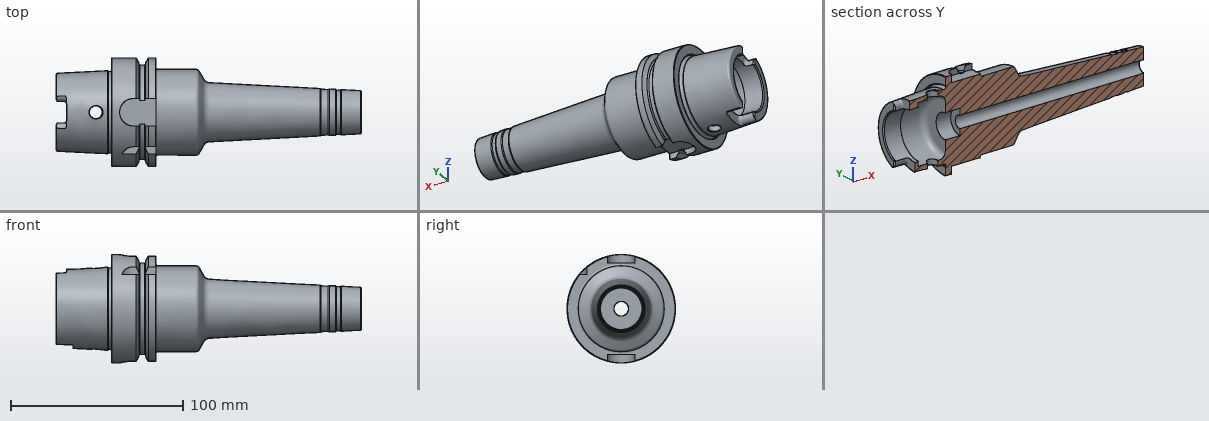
import cadquery as cq

LENGTH = 177.0

TAPER_SLOPE = 0.05
TAPER_RIM_RADIUS = 22.7
TAPER_END_X = 30.0
RIM_FILLET = 1.2
NECK_RADIUS = 23.7
NECK_START_X = 30.5
NECK_FILLET = 1.2

FLANGE_RADIUS = 31.5
FLANGE_FACE_X = 32.0
FLANGE_END_X = 57.9
FLANGE_CHAMFER = 0.4
FACE_RECESS_RADIUS = 25.7
FACE_RECESS_DEPTH = 0.5
GROOVE_START_X = 46.4
GROOVE_END_X = 53.5
GROOVE_FLOOR_START_X = 48.1
GROOVE_FLOOR_END_X = 51.7
GROOVE_FLANK_RADIUS = 28.7
GROOVE_FLOOR_RADIUS = 27.5
GROOVE_ROOT_FILLET = 0.5

BODY_RADIUS = 25.0
BODY_ROOT_FILLET = 0.9
BODY_END_X = 82.3
BODY_EDGE_FILLET = 2.1
SHANK_START_X = 86.7
SHANK_START_RADIUS = 17.3
SHANK_ROOT_FILLET = 3.2
NOSE_RADIUS = 12.5
NOSE_CHAMFER = 0.5
SHANK_SLOPE = (SHANK_START_RADIUS - NOSE_RADIUS) / (LENGTH - SHANK_START_X)

BANDS = [(153.0, 158.5), (162.0, 165.5)]
BAND_DEPTH = 0.4
BAND_FLANK = 0.7

BORE_RADIUS = 17.0
BORE_END_X = 12.5
BORE_CHAMFER = 0.7
CHAMBER_RADIUS = 20.0
CHAMBER_END_X = 32.0
CHAMBER_FLOOR_RADIUS = 16.0
THREAD_RADIUS = 8.5
THREAD_DEPTH = 10.6
COOLANT_HOLE_RADIUS = 4.16

CROSS_HOLE_X = 23.0
CROSS_HOLE_RADIUS = 3.7
CROSS_HOLE_MOUTH_RADIUS = 4.16

DRIVE_SLOT_HALF_WIDTH = 6.2
DRIVE_SLOT_MOUTH_RADIUS = 3.2
DRIVE_SLOT_MOUTH_Z = 17.5
DRIVE_SLOT_FLOOR_FILLET = 1.5
DRIVE_SLOT_CHAMFER_WIDTH = 1.0
DRIVE_SLOT_CHAMFER_LENGTH = 0.7
UPPER_SLOT_DEPTH = 6.0
LOWER_SLOT_DEPTH = 10.0

KEY_SLOT_RADIUS = 8.0
KEY_SLOT_FLOOR_Z = 26.5
SLOT_CENTRE_X = 44.8
NOTCH_CUTTER_RADIUS = 7.0
NOTCH_WALL_Y = -20.0
NOTCH_FLOOR_Z = 20.0

CLEAR = 35.4
PICK = 0.2


def shank_radius(x):
    return NOSE_RADIUS + SHANK_SLOPE * (LENGTH - x)


def revolve(profile):
    return profile.close().revolve(360, (0, 0, 0), (1, 0, 0))


def make_shank_end():
    """Body with rounded shoulder running into the conical shank."""
    root_x = FLANGE_END_X + BODY_ROOT_FILLET
    profile = (
        cq.Workplane("XY")
        .moveTo(FLANGE_END_X, 0)
        .lineTo(FLANGE_END_X, BODY_RADIUS + BODY_ROOT_FILLET)
        .radiusArc((root_x, BODY_RADIUS), -BODY_ROOT_FILLET)
        .lineTo(BODY_END_X, BODY_RADIUS)
        .lineTo(SHANK_START_X, SHANK_START_RADIUS)
        .lineTo(LENGTH - NOSE_CHAMFER, shank_radius(LENGTH - NOSE_CHAMFER))
        .lineTo(LENGTH, NOSE_RADIUS - NOSE_CHAMFER)
        .lineTo(LENGTH, 0)
    )
    body = revolve(profile)
    for x, fillet in ((BODY_END_X, BODY_EDGE_FILLET), (SHANK_START_X, SHANK_ROOT_FILLET)):
        shoulder = cq.selectors.BoxSelector((x - PICK, -CLEAR, -CLEAR), (x + PICK, CLEAR, CLEAR))
        body = body.edges(shoulder).fillet(fillet)
    return body


def make_taper_and_flange():
    recess_x = FLANGE_FACE_X + FACE_RECESS_DEPTH
    root_radius = GROOVE_FLOOR_RADIUS + GROOVE_ROOT_FILLET
    chamfer_radius = FLANGE_RADIUS - FLANGE_CHAMFER
    profile = (
        cq.Workplane("XY")
        .lineTo(0, TAPER_RIM_RADIUS - RIM_FILLET)
        .radiusArc((RIM_FILLET, TAPER_RIM_RADIUS + TAPER_SLOPE * RIM_FILLET), RIM_FILLET)
        .lineTo(TAPER_END_X, TAPER_RIM_RADIUS + TAPER_SLOPE * TAPER_END_X)
        .lineTo(NECK_START_X, NECK_RADIUS)
        .lineTo(recess_x - NECK_FILLET, NECK_RADIUS)
        .radiusArc((recess_x, NECK_RADIUS + NECK_FILLET), -NECK_FILLET)
        .lineTo(recess_x, FACE_RECESS_RADIUS - FACE_RECESS_DEPTH)
        .lineTo(FLANGE_FACE_X, FACE_RECESS_RADIUS)
        .lineTo(FLANGE_FACE_X, chamfer_radius)
        .lineTo(FLANGE_FACE_X + FLANGE_CHAMFER, FLANGE_RADIUS)
        .lineTo(GROOVE_START_X, FLANGE_RADIUS)
        .lineTo(GROOVE_FLOOR_START_X, GROOVE_FLANK_RADIUS)
        .lineTo(GROOVE_FLOOR_START_X, root_radius)
        .radiusArc((GROOVE_FLOOR_START_X + GROOVE_ROOT_FILLET, GROOVE_FLOOR_RADIUS), -GROOVE_ROOT_FILLET)
        .lineTo(GROOVE_FLOOR_END_X - GROOVE_ROOT_FILLET, GROOVE_FLOOR_RADIUS)
        .radiusArc((GROOVE_FLOOR_END_X, root_radius), -GROOVE_ROOT_FILLET)
        .lineTo(GROOVE_FLOOR_END_X, GROOVE_FLANK_RADIUS)
        .lineTo(GROOVE_END_X, FLANGE_RADIUS)
        .lineTo(FLANGE_END_X - FLANGE_CHAMFER, FLANGE_RADIUS)
        .lineTo(FLANGE_END_X, chamfer_radius)
        .lineTo(FLANGE_END_X, 0)
    )
    return revolve(profile)


def make_band(start, end):
    """Ring that lowers the shank surface by BAND_DEPTH, with sloped flanks."""
    floor_start = start + BAND_FLANK
    floor_end = end - BAND_FLANK
    profile = (
        cq.Workplane("XY")
        .moveTo(start, CLEAR)
        .lineTo(start, shank_radius(start))
        .lineTo(floor_start, shank_radius(floor_start) - BAND_DEPTH)
        .lineTo(floor_end, shank_radius(floor_end) - BAND_DEPTH)
        .lineTo(end, shank_radius(end))
        .lineTo(end, CLEAR)
    )
    return revolve(profile)


def make_interior():
    """Stepped bore, undercut chamber with rounded floor, thread bore and coolant hole."""
    corner = CHAMBER_RADIUS - CHAMBER_FLOOR_RADIUS
    thread_end_x = CHAMBER_END_X + THREAD_DEPTH
    profile = (
        cq.Workplane("XY")
        .lineTo(0, BORE_RADIUS + BORE_CHAMFER)
        .lineTo(BORE_CHAMFER, BORE_RADIUS)
        .lineTo(BORE_END_X, BORE_RADIUS)
        .lineTo(BORE_END_X, CHAMBER_RADIUS)
        .lineTo(CHAMBER_END_X - corner, CHAMBER_RADIUS)
        .radiusArc((CHAMBER_END_X, CHAMBER_FLOOR_RADIUS), corner)
        .lineTo(CHAMBER_END_X, THREAD_RADIUS)
        .lineTo(thread_end_x, THREAD_RADIUS)
        .lineTo(thread_end_x, COOLANT_HOLE_RADIUS)
        .lineTo(LENGTH, COOLANT_HOLE_RADIUS)
        .lineTo(LENGTH, 0)
    )
    return revolve(profile)


def make_cross_hole():
    """Upward half of the cross hole, with a 45-degree chamfer below the taper surface."""
    chamfer = CROSS_HOLE_MOUTH_RADIUS - CROSS_HOLE_RADIUS
    surface_z = TAPER_RIM_RADIUS + TAPER_SLOPE * CROSS_HOLE_X
    profile = (
        cq.Workplane("XZ", origin=(CROSS_HOLE_X, 0, 0))
        .lineTo(CROSS_HOLE_RADIUS, 0)
        .lineTo(CROSS_HOLE_RADIUS, surface_z - chamfer)
        .lineTo(CROSS_HOLE_MOUTH_RADIUS, surface_z)
        .lineTo(CROSS_HOLE_MOUTH_RADIUS, CLEAR)
        .lineTo(0, CLEAR)
    )
    return profile.close().revolve(360, (0, 0, 0), (0, 1, 0))


def make_drive_slot(depth):
    """Upward slot in the rim: rounded mouth, filleted floor and chamfered entry.

    The cutter starts ahead of the rim and its chamfer faces run on past the rim plane.
    """
    half = DRIVE_SLOT_HALF_WIDTH
    mouth_half = half + DRIVE_SLOT_MOUTH_RADIUS
    mouth_z = DRIVE_SLOT_MOUTH_Z + DRIVE_SLOT_MOUTH_RADIUS
    slot = (
        cq.Workplane("YZ", origin=(-CLEAR, 0, 0))
        .moveTo(-half, 0)
        .lineTo(half, 0)
        .lineTo(half, DRIVE_SLOT_MOUTH_Z)
        .radiusArc((mouth_half, mouth_z), DRIVE_SLOT_MOUTH_RADIUS)
        .lineTo(mouth_half, CLEAR)
        .lineTo(-mouth_half, CLEAR)
        .lineTo(-mouth_half, mouth_z)
        .radiusArc((-half, DRIVE_SLOT_MOUTH_Z), DRIVE_SLOT_MOUTH_RADIUS)
        .close()
        .extrude(CLEAR + depth)
    )
    floor_sides = cq.selectors.BoxSelector(
        (depth - PICK, -mouth_half, PICK), (depth + PICK, mouth_half, mouth_z)
    )
    slot = slot.edges(floor_sides).fillet(DRIVE_SLOT_FLOOR_FILLET)
    entry_half = half + 2 * DRIVE_SLOT_CHAMFER_WIDTH
    entry = (
        cq.Workplane("XY")
        .moveTo(-DRIVE_SLOT_CHAMFER_LENGTH, -entry_half)
        .lineTo(DRIVE_SLOT_CHAMFER_LENGTH, -half)
        .lineTo(DRIVE_SLOT_CHAMFER_LENGTH, half)
        .lineTo(-DRIVE_SLOT_CHAMFER_LENGTH, entry_half)
        .close()
        .extrude(CLEAR)
    )
    return slot.union(entry)


def make_flange_slot(floor_z, centre_y, radius):
    """Round-ended slot above floor_z, open towards the shank end of the flange."""
    run = FLANGE_END_X - SLOT_CENTRE_X
    slot = cq.Workplane("XY", origin=(SLOT_CENTRE_X, centre_y, floor_z))
    round_end = slot.circle(radius).extrude(CLEAR)
    open_side = slot.center(run / 2, 0).rect(run, 2 * radius).extrude(CLEAR)
    return round_end.union(open_side)


def upside_down(solid):
    return solid.rotate((0, 0, 0), (1, 0, 0), 180)


result = make_taper_and_flange().union(make_shank_end())
for band_start, band_end in BANDS:
    result = result.cut(make_band(band_start, band_end))
result = result.cut(make_interior())

cross_hole = make_cross_hole()
result = result.cut(cross_hole).cut(upside_down(cross_hole))

result = result.cut(make_drive_slot(UPPER_SLOT_DEPTH))
result = result.cut(upside_down(make_drive_slot(LOWER_SLOT_DEPTH)))

key_slot = make_flange_slot(KEY_SLOT_FLOOR_Z, 0, KEY_SLOT_RADIUS)
result = result.cut(key_slot).cut(upside_down(key_slot))
notch_centre_y = NOTCH_WALL_Y - NOTCH_CUTTER_RADIUS
result = result.cut(make_flange_slot(NOTCH_FLOOR_Z, notch_centre_y, NOTCH_CUTTER_RADIUS))